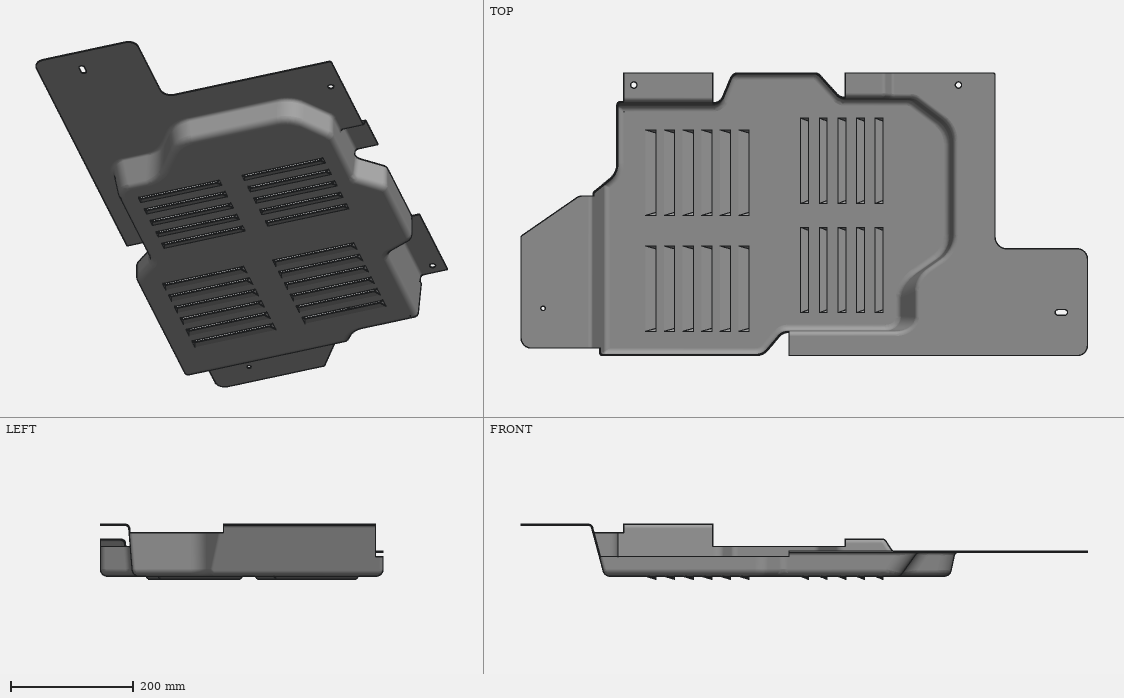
import cadquery as cq
import math

LENGTH = 928.66
WIDTH = 463.79
HEIGHT = 90.62
THICKNESS = 2.0
LOUVRE_DEPTH = 5.0

FLANGE_TOP = HEIGHT - LOUVRE_DEPTH
LEFT_WALL_TOP = 71.6
TAB_TOP = 61.2
BACK_WALL_TOP = 49.0
PLATE_TOP = 41.2
FRONT_WALL_TOP = 32.3

CLEARANCE = 20.0
REACH = 1.0
DIE_TOP = FLANGE_TOP + CLEARANCE

FLOOR_BEND = 12.0
RIM_BEND = 8.0
RAMP_BEND = 8.0

PAN_CORNERS = [
    (137.0, 0.0, 6.0, 0.0),
    (397.0, 0.0, 26.0, 0.0),
    (430.0, 39.0, 18.0, 2.0),
    (621.2, 39.0, 26.0, 36.0),
    (621.2, 114.5, 38.0, 8.0),
    (703.2, 172.0, 52.0, 12.0),
    (703.2, 370.5, 50.0, 12.0),
    (637.0, 420.5, 20.0, 4.0),
    (526.0, 420.5, 14.0, 0.0),
    (486.7, WIDTH, 14.0, 0.0),
    (347.0, WIDTH, 14.0, 0.0),
    (324.7, 410.7, 16.0, 4.8),
    (157.0, 410.7, 6.0, 0.0),
    (157.0, 299.5, 32.0, 0.0),
    (137.0, 283.2, 6.0, 15.0),
]

FRONT_STRIP_Y = 12.4
LEFT_FLANGE_BACK_Y = 262.0
LEFT_FLANGE_INNER_X = 180.0
PLATE_LEFT_X = 439.2
BACK_FLANGE_X = (168.2, 314.6)
SMALL_TAB_X = 531.4
RAMP_X = (596.0, 609.0)

FLANGE_CORNER = 17.0
LEFT_FLANGE_SLANT = ((95.6, LEFT_FLANGE_BACK_Y), (0.0, 196.0))
PLATE_ARM_Y = 175.5
PLATE_ARM_X = 777.3
PLATE_INNER_CORNER = 19.0
SHARP_FLANGE_CORNER = 4.0

BACK_HOLES_Y = 443.7
BACK_HOLES_X = (185.0, 717.0)
BACK_HOLE_DIAMETER = 10.0
LEFT_HOLE = (36.3, 77.7)
LEFT_HOLE_DIAMETER = 7.0
SLOT_CENTRE = (885.7, 71.0)
SLOT_SIZE = (20.0, 9.0)

LOUVRE_LENGTH = 140.0
LOUVRE_PITCH = 30.5
LOUVRE_GROUPS = [
    (204.5, 40.0, 6, 17.0),
    (204.5, 230.0, 6, 17.0),
    (458.5, 70.5, 5, 13.0),
    (458.5, 249.5, 5, 13.0),
]


def box(x_range, y_range, z_range):
    """Axis-aligned block between the given limits."""
    size = [b - a for a, b in (x_range, y_range, z_range)]
    return cq.Workplane("XY").box(*size, centered=False).translate((x_range[0], y_range[0], z_range[0]))


def rounded_outline(corners):
    """Closed counter-clockwise wire in the XY plane with a tangent arc at each (x, y, radius) corner."""
    stretches = []
    for i, (x, y, radius) in enumerate(corners):
        corner = cq.Vector(x, y)
        before = cq.Vector(*corners[i - 1][:2])
        after = cq.Vector(*corners[(i + 1) % len(corners)][:2])
        back = (before - corner).normalized()
        ahead = (after - corner).normalized()
        half_angle = back.getAngle(ahead) / 2
        bisector = (back + ahead).normalized()
        setback = radius / math.tan(half_angle)
        arc_depth = radius / math.sin(half_angle) - radius
        stretches.append((corner + back * setback, corner + bisector * arc_depth, corner + ahead * setback))
    edges = []
    for i, (start, middle, end) in enumerate(stretches):
        if (end - start).Length > 0:
            edges.append(cq.Edge.makeThreePointArc(start, middle, end))
        edges.append(cq.Edge.makeLine(end, stretches[(i + 1) % len(stretches)][0]))
    return cq.Wire.assembleEdges(edges)


def plate(corners):
    """Full-height block with a rounded plan outline."""
    solid = cq.Solid.extrudeLinear(rounded_outline(corners), [], cq.Vector(0, 0, DIE_TOP))
    return cq.Workplane("XY").add(solid)


def pan_corner_points(z, inset):
    """Sharp corners of the drafted pan walls at height z, moved inwards by inset."""
    walls = []
    for i, (x, y, _, draft) in enumerate(PAN_CORNERS):
        next_x, next_y = PAN_CORNERS[(i + 1) % len(PAN_CORNERS)][:2]
        length = math.hypot(next_x - x, next_y - y)
        outward = ((next_y - y) / length, (x - next_x) / length)
        draft_angle = math.radians(draft)
        shift = z * math.tan(draft_angle) - inset / math.cos(draft_angle)
        walls.append((outward, x * outward[0] + y * outward[1] + shift))
    points = []
    for i, ((bx, by), b) in enumerate(walls):
        (ax, ay), a = walls[i - 1]
        turn = ax * by - ay * bx
        points.append(cq.Vector((a * by - b * ay) / turn, (ax * b - bx * a) / turn, z))
    return points


def turns_left(i):
    """True where the outline turns left, so that the pan bulges outwards at corner i."""
    x, y = PAN_CORNERS[i][:2]
    last_x, last_y = PAN_CORNERS[i - 1][:2]
    next_x, next_y = PAN_CORNERS[(i + 1) % len(PAN_CORNERS)][:2]
    return (x - last_x) * (next_y - y) > (y - last_y) * (next_x - x)


def pan_plug(inset):
    """Solid filling the pan, open upwards, with its corners and floor bend rounded."""
    floor = pan_corner_points(inset, inset)
    top = pan_corner_points(DIE_TOP, inset)
    outlines = [floor, top]
    for i in range(len(floor)):
        outlines.append([floor[i - 1], floor[i], top[i], top[i - 1]])
    faces = [cq.Face.makeFromWires(cq.Wire.makePolygon(points, close=True)) for points in outlines]
    plug = cq.Workplane("XY").add(cq.Solid.makeSolid(cq.Shell.makeShell(faces)).fix())
    tight = []
    for i, corner in enumerate(PAN_CORNERS):
        middle = (floor[i] + top[i]) / 2
        edge = cq.selectors.NearestToPointSelector(middle.toTuple())
        radius = corner[2] - inset if turns_left(i) else corner[2] + inset
        if corner[2] < FLOOR_BEND:
            tight.append((edge, radius))
        else:
            plug = plug.edges(edge).fillet(radius)
    plug = plug.faces("<Z").edges().fillet(FLOOR_BEND - inset)
    for edge, radius in tight:
        plug = plug.edges(edge).fillet(radius)
    return plug


def flanged_plug(inset, flange_top):
    """Pan plug joined to the space above a flange; flange_top lists its (x, z) points, left to right."""
    depth = THICKNESS - inset
    profile = [(x, z - depth) for x, z in flange_top]
    above = space_above(profile)
    if len(profile) > 2:
        slope = math.atan2(TAB_TOP - PLATE_TOP, RAMP_X[1] - RAMP_X[0])
        shift = depth * math.tan(slope / 2)
        profile = [profile[0]] + [(x - shift, z) for x, z in profile[1:-1]] + [profile[-1]]
        above = space_above(profile)
        above = above.edges(around_line(*profile[1])).fillet(RAMP_BEND - depth)
        above = above.edges(around_line(*profile[2])).fillet(RAMP_BEND - inset)
    rim = cq.selectors.BoxSelector(
        (profile[0][0] + REACH, -REACH, profile[-1][1] - REACH),
        (profile[-1][0] - REACH, WIDTH + REACH, profile[0][1] + REACH),
    )
    return pan_plug(inset).union(above).edges(rim).fillet(RIM_BEND - depth)


def space_above(profile):
    """Block over an XZ profile, running past the front and back of the part."""
    top = [(profile[-1][0], DIE_TOP), (profile[0][0], DIE_TOP)]
    plane = cq.Workplane("XZ", origin=(0, WIDTH + CLEARANCE, 0))
    return plane.polyline(profile + top).close().extrude(WIDTH + 2 * CLEARANCE)


def around_line(x, z):
    """Selector for edges along Y passing through (x, z)."""
    return cq.selectors.BoxSelector(
        (x - REACH, -CLEARANCE, z - REACH), (x + REACH, WIDTH + CLEARANCE, z + REACH)
    )


def flanged_skins(flange_top):
    """Solids above the outer and inner skins of a pan with a flange all round its rim."""
    return flanged_plug(0.0, flange_top), flanged_plug(THICKNESS, flange_top)


def zone(skins, x_range, y_range, top=DIE_TOP):
    """Sheet between two skins, inside a rectangle in plan and below a level."""
    outer, inner = skins
    return outer.intersect(box(x_range, y_range, (-CLEARANCE, top))).cut(inner)


def left_flange_blank():
    """Outline of the left flange, reaching in over the pan floor."""
    inner = LEFT_FLANGE_INNER_X
    return plate(
        [
            (0.0, FRONT_STRIP_Y, FLANGE_CORNER),
            (inner, FRONT_STRIP_Y, 0.0),
            (inner, LEFT_FLANGE_BACK_Y, 0.0),
            (*LEFT_FLANGE_SLANT[0], FLANGE_CORNER),
            (*LEFT_FLANGE_SLANT[1], SHARP_FLANGE_CORNER),
        ]
    )


def right_plate_blank():
    """Outline of the large right-hand plate, reaching in over the pan floor."""
    return plate(
        [
            (PLATE_LEFT_X, 0.0, 0.0),
            (LENGTH, 0.0, FLANGE_CORNER),
            (LENGTH, PLATE_ARM_Y, FLANGE_CORNER),
            (PLATE_ARM_X, PLATE_ARM_Y, PLATE_INNER_CORNER),
            (PLATE_ARM_X, WIDTH, SHARP_FLANGE_CORNER),
            (PLATE_LEFT_X, WIDTH, 0.0),
        ]
    )


def shaped_tray():
    """Pan, free walls and flanges, assembled from plan zones that share one pan surface."""
    whole_x = (-CLEARANCE, LENGTH + CLEARANCE)
    front_y = (FRONT_STRIP_Y, LEFT_FLANGE_BACK_Y)
    back_y = (LEFT_FLANGE_BACK_Y, WIDTH)
    ramp = [(RAMP_X[0], TAB_TOP), (RAMP_X[1], PLATE_TOP)]

    plain = (pan_plug(0.0), pan_plug(THICKNESS))
    high = flanged_skins([(x, FLANGE_TOP) for x in whole_x])
    low = flanged_skins([(x, PLATE_TOP) for x in whole_x])
    stepped = flanged_skins([(whole_x[0], TAB_TOP), *ramp, (whole_x[1], PLATE_TOP)])
    blank = right_plate_blank()

    zones = [
        zone(plain, (0.0, PLATE_LEFT_X), (0.0, FRONT_STRIP_Y), FRONT_WALL_TOP),
        zone(plain, (LEFT_FLANGE_INNER_X, PLATE_LEFT_X), front_y, FRONT_WALL_TOP),
        zone(plain, (0.0, BACK_FLANGE_X[0]), back_y, LEFT_WALL_TOP),
        zone(plain, (BACK_FLANGE_X[1], SMALL_TAB_X), back_y, BACK_WALL_TOP),
        zone(high, (0.0, LEFT_FLANGE_INNER_X), front_y).intersect(left_flange_blank()),
        zone(high, BACK_FLANGE_X, back_y),
        zone(low, (PLATE_LEFT_X, LENGTH), (0.0, LEFT_FLANGE_BACK_Y)).intersect(blank),
        zone(stepped, (SMALL_TAB_X, LENGTH), back_y).intersect(blank),
    ]
    pieces = [piece.val() for piece in zones]
    return cq.Workplane("XY").add(pieces[0].fuse(*pieces[1:]).clean())


def fixing_holes():
    """Cutters for the round holes in the flanges and the slot in the plate arm."""
    holes = [(x, BACK_HOLES_Y, BACK_HOLE_DIAMETER) for x in BACK_HOLES_X]
    holes.append((*LEFT_HOLE, LEFT_HOLE_DIAMETER))
    cutters = cq.Workplane("XY").center(*SLOT_CENTRE).slot2D(*SLOT_SIZE).extrude(DIE_TOP)
    for x, y, diameter in holes:
        cutters = cutters.union(cq.Workplane("XY").center(x, y).circle(diameter / 2).extrude(DIE_TOP))
    return cutters


def louvre_wedge(width, lift):
    """Wedge hanging below the floor, deepest along its right edge, with 45 degree ends."""
    cover = 2 * THICKNESS
    deep = lift - LOUVRE_DEPTH
    side = (
        cq.Workplane("XZ")
        .polyline([(0, lift), (width, deep), (width, cover), (0, cover)])
        .close()
        .extrude(-LOUVRE_LENGTH)
    )
    ends = (
        cq.Workplane("YZ")
        .polyline(
            [
                (0, lift),
                (LOUVRE_DEPTH, deep),
                (LOUVRE_LENGTH - LOUVRE_DEPTH, deep),
                (LOUVRE_LENGTH, lift),
                (LOUVRE_LENGTH, cover),
                (0, cover),
            ]
        )
        .close()
        .extrude(width)
    )
    return side.intersect(ends)


def add_louvres(tray):
    """Press the louvres down from the flat floor, each left open along its right edge."""
    hoods = []
    hollows = []
    for left, front, count, width in LOUVRE_GROUPS:
        below_floor = box((0.0, width), (0.0, LOUVRE_LENGTH), (-LOUVRE_DEPTH, THICKNESS))
        outer = louvre_wedge(width, 0.0).intersect(below_floor).val()
        inner = louvre_wedge(width, THICKNESS).val()
        for i in range(count):
            place = cq.Vector(left + i * LOUVRE_PITCH, front, 0.0)
            hoods.append(outer.translate(place))
            hollows.append(inner.translate(place))
    return tray.val().fuse(*hoods).cut(*hollows).Solids()[0]


result = cq.Workplane("XY").add(add_louvres(shaped_tray().cut(fixing_holes())))